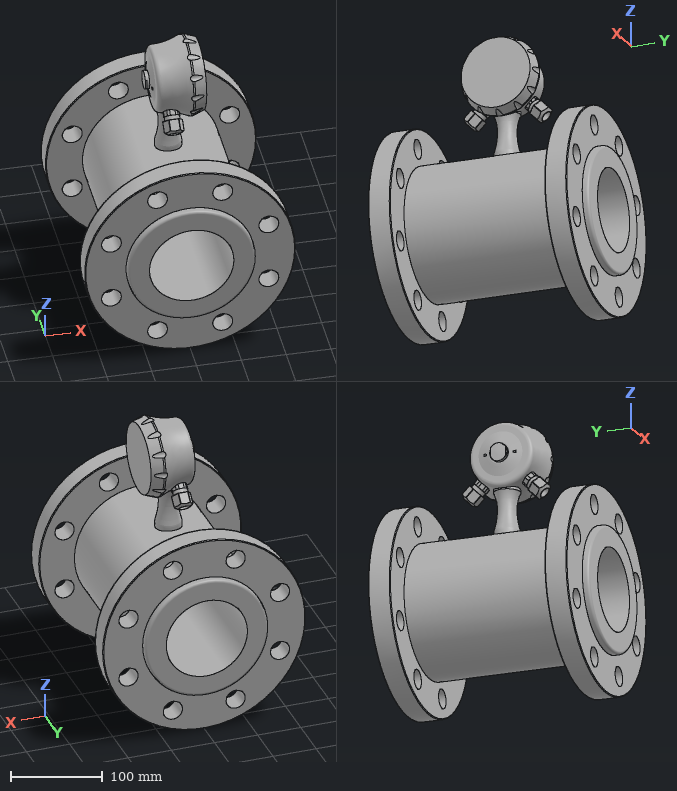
import cadquery as cq
import math

length = 250.0
bore_diameter = 94.0
body_diameter = 153.0
flange_diameter = 235.0
flange_thickness = 26.0
flange_chamfer = 1.0
face_diameter = 143.0
face_height = 8.2
face_fillet = 3.3
bolt_count = 8
bolt_hole_diameter = 22.0
bolt_circle_diameter = 190.0

head_z = 165.7
back_x = -19.0
back_radius = 37.8
back_fillet = 5.3
joint_x = 15.0
joint_radius = 44.0
ridge_start_x = 19.0
ridge_end_x = 21.0
ridge_radius = 45.7
taper_end_x = 31.2
taper_end_radius = 41.92
cap_end_x = 34.5
cap_end_radius = 40.6

groove_count = 12
groove_radius = 5.0
groove_start_x = 16.8

boss_base_radius = 25.5
boss_top_radius = 14.95
boss_top_x = -22.0
collar_diameter = 24.5
collar_x = -22.7
plug_diameter = 20.7
plug_x = -27.3
plug_tip_x = -28.0
plug_flats_width = 17.8
plug_step_x = -25.5
pin_diameter = 3.0
pin_x = -20.5
pin_end = 18.7

stem_base_diameter = 30.0
stem_neck_diameter = 22.0
stem_flare_diameter = 23.5
stem_top_radius = 15.0
stem_base_top_z = 80.5
stem_shoulder_z = 82.2
stem_shoulder_radius = 14.8
stem_cone_end_z = 87.8
stem_cone_end_radius = 13.3
neck_bottom_z = 104.0
neck_top_z = 108.2
stem_flare_z = 116.5
stem_top_z = 126.5

gland_x = -2.3
gland_tilt = 45.0
gland_root = 26.3
hex_across_flats = 17.0
hex_corner_diameter = 18.0
hex_end = 43.7
gland_neck_diameter = 16.8
nut_start = 48.5
nut_end = 63.8
nut_across_flats = 19.5
nut_corner_diameter = 22.0
nut_end_diameter = 13.0
nut_chamfer_length = 3.0
cable_hole_diameter = 12.0
cable_hole_depth = 10.0


def y_cylinder(diameter, start, end):
    """Cylinder about the Y axis between two Y positions."""
    return cq.Workplane("XZ", origin=(0, end, 0)).circle(diameter / 2).extrude(end - start)


def flange(side):
    """Bolted flange with its raised face; side is -1 or 1."""
    disc_outer = length / 2 - face_height
    disc = y_cylinder(flange_diameter, disc_outer - flange_thickness, disc_outer)
    disc = disc.edges().chamfer(flange_chamfer)
    face = y_cylinder(face_diameter, disc_outer - flange_thickness, length / 2)
    face = face.faces(">Y").edges().fillet(face_fillet)
    bolt_holes = (
        cq.Workplane("XZ", origin=(0, length / 2, 0))
        .polarArray(bolt_circle_diameter / 2, 180 / bolt_count, 360, bolt_count)
        .circle(bolt_hole_diameter / 2)
        .extrude(length / 2)
    )
    drilled = disc.union(face).cut(bolt_holes)
    return drilled if side > 0 else drilled.mirror("XZ")


def pipe():
    inner_face = length / 2 - face_height - flange_thickness
    body = y_cylinder(body_diameter, -inner_face, inner_face)
    return body.union(flange(-1)).union(flange(1))


def turned_about_head_axis(profile):
    """Revolve a closed (x, radius) profile and lift it to the head axis."""
    return profile.revolve(360, (0, 0, 0), (1, 0, 0)).translate((0, 0, head_z))


def head_shell():
    wall_x = back_x + back_fillet
    corner = back_fillet * (1 - math.sqrt(0.5))
    profile = (
        cq.Workplane("XZ")
        .moveTo(back_x, 0)
        .lineTo(back_x, back_radius - back_fillet)
        .threePointArc((back_x + corner, back_radius - corner), (wall_x, back_radius))
        .tangentArcPoint((joint_x, joint_radius), relative=False)
        .lineTo(ridge_start_x, ridge_radius)
        .lineTo(ridge_end_x, ridge_radius)
        .lineTo(taper_end_x, taper_end_radius)
        .lineTo(cap_end_x, cap_end_radius)
        .lineTo(cap_end_x, 0)
        .close()
    )
    return turned_about_head_axis(profile)


def finger_grooves():
    """Shallow round grooves whose floor slopes less than the cap's taper, so they run out to a point."""
    ridge_slope = (ridge_radius - joint_radius) / (ridge_start_x - joint_x)
    start_radius = joint_radius + ridge_slope * (groove_start_x - joint_x)
    drop = start_radius - taper_end_radius
    run = taper_end_x - groove_start_x
    overrun = groove_radius
    groove = (
        cq.Workplane("YZ", origin=(-overrun, 0, groove_radius))
        .circle(groove_radius)
        .extrude(run + 2 * overrun)
        .rotate((0, 0, 0), (0, 1, 0), math.degrees(math.atan2(drop, run)))
        .translate((groove_start_x, 0, start_radius))
    )
    grooves = cq.Workplane("XY")
    for index in range(groove_count):
        grooves.add(groove.rotate((0, 0, 0), (1, 0, 0), index * 360 / groove_count))
    return grooves.combine().translate((0, 0, head_z))


def plug():
    boss = turned_about_head_axis(
        cq.Workplane("XZ").polyline([
            (back_x, 0),
            (back_x, boss_base_radius),
            (boss_top_x, boss_top_radius),
            (collar_x, collar_diameter / 2),
            (collar_x, 0),
        ]).close()
    )
    knob = turned_about_head_axis(
        cq.Workplane("XZ").polyline([
            (back_x, 0),
            (back_x, plug_diameter / 2),
            (plug_x, plug_diameter / 2),
            (plug_tip_x, 0),
        ]).close()
    )
    flats_depth = plug_step_x - plug_tip_x
    flats = cq.Workplane("XY").box(flats_depth, plug_flats_width, plug_diameter)
    flats = flats.translate((plug_tip_x + flats_depth / 2, 0, head_z))
    base = (
        cq.Workplane("YZ", origin=(plug_step_x, 0, head_z))
        .circle(plug_diameter / 2)
        .extrude(back_x - plug_step_x)
    )
    pins = y_cylinder(pin_diameter, -pin_end, pin_end).translate((pin_x, 0, head_z))
    return boss.union(knob.intersect(flats)).union(base).union(pins)


def stem():
    buried_z = (bore_diameter + body_diameter) / 4
    neck_radius = stem_neck_diameter / 2
    profile = (
        cq.Workplane("XZ")
        .moveTo(0, buried_z)
        .lineTo(stem_base_diameter / 2, buried_z)
        .lineTo(stem_base_diameter / 2, stem_base_top_z)
        .lineTo(stem_shoulder_radius, stem_shoulder_z)
        .lineTo(stem_cone_end_radius, stem_cone_end_z)
        .tangentArcPoint((neck_radius, neck_bottom_z), relative=False)
        .lineTo(neck_radius, neck_top_z)
        .tangentArcPoint((stem_flare_diameter / 2, stem_flare_z), relative=False)
        .tangentArcPoint((stem_top_radius, stem_top_z), relative=False)
        .lineTo(stem_top_radius, head_z - back_radius / 2)
        .lineTo(0, head_z - back_radius / 2)
        .close()
    )
    return profile.revolve(360, (0, 0, 0), (0, 1, 0))


def hex_bar(across_flats, start, end):
    """Hexagonal bar about the Z axis with two corners on X."""
    corner_diameter = across_flats / math.cos(math.pi / 6)
    profile = cq.Workplane("XY", origin=(0, 0, start)).polygon(6, corner_diameter)
    return profile.extrude(end - start)


def gland(side):
    """Cable gland pointing down and to -Y or +Y; built along Z, then tilted."""
    hexagon = hex_bar(hex_across_flats, gland_root, hex_end)
    hexagon = hexagon.intersect(
        cq.Workplane("XY", origin=(0, 0, gland_root))
        .circle(hex_corner_diameter / 2)
        .extrude(hex_end - gland_root)
    )
    neck = cq.Workplane("XY", origin=(0, 0, gland_root)).circle(gland_neck_diameter / 2)
    nut = hex_bar(nut_across_flats, nut_start, nut_end)
    nut_envelope = (
        cq.Workplane("XZ")
        .polyline([
            (0, nut_start),
            (nut_corner_diameter / 2, nut_start),
            (nut_corner_diameter / 2, nut_end - nut_chamfer_length),
            (nut_end_diameter / 2, nut_end),
            (0, nut_end),
        ])
        .close()
        .revolve(360, (0, 0, 0), (0, 1, 0))
    )
    cable_hole = (
        cq.Workplane("XY", origin=(0, 0, nut_end - cable_hole_depth))
        .circle(cable_hole_diameter / 2)
        .extrude(cable_hole_depth)
    )
    upright = (
        hexagon.union(neck.extrude(nut_start - gland_root))
        .union(nut.intersect(nut_envelope))
        .cut(cable_hole)
    )
    tilted = upright.rotate((0, 0, 0), (1, 0, 0), side * (90 + gland_tilt))
    return tilted.translate((gland_x, 0, head_z))


head = head_shell().cut(finger_grooves()).union(plug())
bore = y_cylinder(bore_diameter, -length / 2, length / 2)
result = pipe().union(stem()).union(head).union(gland(-1)).union(gland(1)).cut(bore)